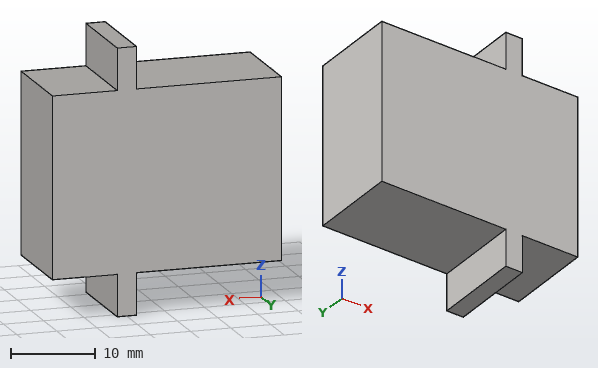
import cadquery as cq

body_length = 28.5
depth = 12.0
total_height = 32.9
tab_height = 5.2
tab_thickness = 2.4
tab_offset = 18.03

body_height = total_height - 2 * tab_height
tab_center_x = tab_offset + tab_thickness / 2 - body_length / 2

body = cq.Workplane("XY").box(body_length, depth, body_height)

tab_plate = (
    cq.Workplane("XY")
    .box(tab_thickness, depth, total_height)
    .translate((tab_center_x, 0, 0))
)

result = body.union(tab_plate)